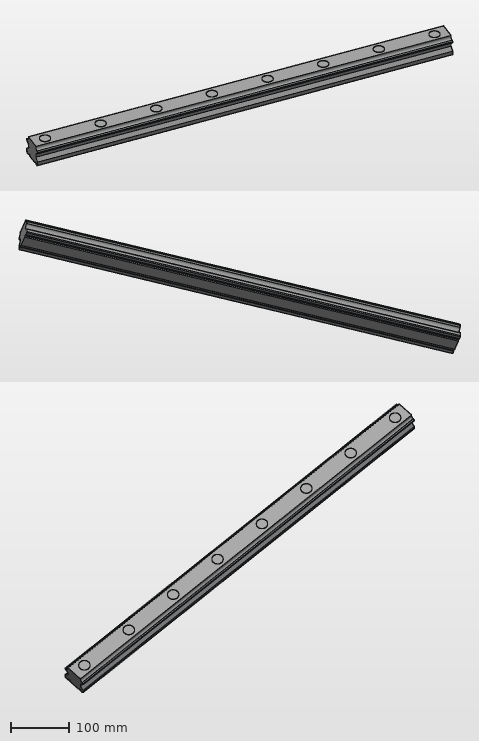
import cadquery as cq
import math

length = 785.0
width = 45.0
height = 38.0
half_width = width / 2

top_half_width = 16.0
head_edge_top = 29.0
head_edge_bottom = 27.0
bevel_width = 2.0
upper_bevel_rise = 1.5
lower_bevel_drop = 2.0
upper_groove_top = 36.0
ball_groove_radius = 5.0

waist_half_width = 16.0
waist_top = 20.0
waist_bottom = 15.0

foot_edge_top = 9.0
foot_chamfer = 1.5

relief_inner = 10.0
relief_floor_inner = 12.0
relief_outer = 15.0
relief_depth = 1.5

hole_count = 8
hole_pitch = 105.0
cap_diameter = 20.0
cap_recess_depth = 1.0


def groove_middle(start, end):
    """Point halfway along a ball groove that runs from start to end, hollowed toward the rail axis."""
    run = end[0] - start[0]
    rise = end[1] - start[1]
    chord = math.hypot(run, rise)
    sag = ball_groove_radius - math.sqrt(ball_groove_radius**2 - (chord / 2) ** 2)
    middle_x = (start[0] + end[0]) / 2
    middle_z = (start[1] + end[1]) / 2
    return (middle_x - sag * abs(rise) / chord, middle_z + sag * run * math.copysign(1, rise) / chord)


def make_rail():
    """Extrude half of the rail section along Y and mirror it about the middle plane."""
    bevel_x = half_width - bevel_width
    lower_groove_start = (waist_half_width, waist_top)
    lower_groove_end = (bevel_x, head_edge_bottom - lower_bevel_drop)
    upper_groove_start = (bevel_x, head_edge_top + upper_bevel_rise)
    upper_groove_end = (top_half_width, upper_groove_top)
    half_section = (
        cq.Workplane("XZ")
        .moveTo(0, 0)
        .lineTo(relief_inner, 0)
        .lineTo(relief_floor_inner, relief_depth)
        .lineTo(relief_outer, relief_depth)
        .lineTo(relief_outer, 0)
        .lineTo(half_width - foot_chamfer, 0)
        .lineTo(half_width, foot_chamfer)
        .lineTo(half_width, foot_edge_top)
        .lineTo(waist_half_width, waist_bottom)
        .lineTo(*lower_groove_start)
        .threePointArc(groove_middle(lower_groove_start, lower_groove_end), lower_groove_end)
        .lineTo(half_width, head_edge_bottom)
        .lineTo(half_width, head_edge_top)
        .lineTo(*upper_groove_start)
        .threePointArc(groove_middle(upper_groove_start, upper_groove_end), upper_groove_end)
        .lineTo(top_half_width, height)
        .lineTo(0, height)
        .close()
    )
    half_rail = half_section.extrude(length / 2, both=True)
    return half_rail.union(half_rail.mirror("YZ")).clean()


def cut_cap_recesses(rail):
    """Sink a shallow round recess over each mounting hole."""
    return (
        rail.faces(">Z")
        .workplane(origin=(0, 0, height))
        .rarray(8, hole_pitch, 1, hole_count)
        .circle(cap_diameter / 2)
        .cutBlind(-cap_recess_depth)
    )


result = cut_cap_recesses(make_rail())